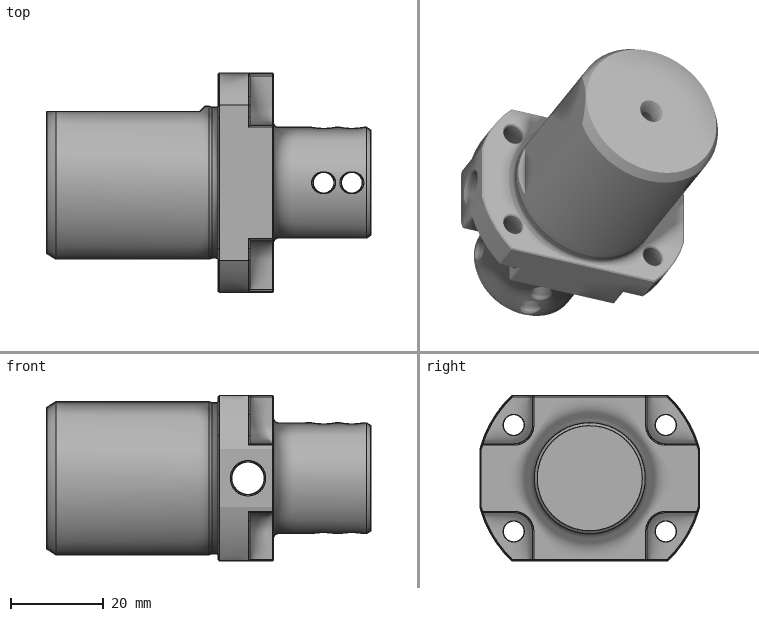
import cadquery as cq
import math

total_length = 70.0
flange_start = 37.0
flange_end = 49.0

shank_radius = 16.5
shank_chamfer_length = 2.0
shank_chamfer_depth = 1.25
spigot_radius = 12.0
spigot_chamfer_length = 1.0
spigot_chamfer_depth = 0.6
spigot_fillet = 1.0

relief_start = 35.1
relief_taper_end = 35.7
relief_depth = 0.2
relief_fillet_start = 36.55
relief_fillet_radius = 0.6
relief_exit_angle = 15.0

flat_offset = 15.4
flat_end = 33.05

flange_width = 47.4
flange_height = 35.7
flange_corner_radius = 24.5
edge_break = 0.3

bolt_circle_radius = 20.0
bolt_angle = 35.0
bolt_hole_diameter = 4.5
bolt_countersink_diameter = 5.05
bolt_y = bolt_circle_radius * math.cos(math.radians(bolt_angle))
bolt_z = bolt_circle_radius * math.sin(math.radians(bolt_angle))
seat_radius = 4.05
seat_floor = 43.9

corners = [(y_side, z_side) for y_side in (-1, 1) for z_side in (-1, 1)]
plain_corner = (-1, 1)

side_hole_x = 43.5
side_hole_diameter = 7.0
side_countersink_diameter = 7.6
pin_hole_stations = (59.8, 65.9)
pin_hole_diameter = 4.5
pin_countersink_diameter = 5.2

centre_hole_diameter = 5.3
centre_pilot_diameter = 2.4
centre_pilot_length = 2.1
centre_cone_half_angle = 30.0
drill_tip_half_angle = 59.0


def make_turned_body():
    """Shank, groove and spigot as one revolved profile, with stock left for the relief fillet."""
    relief_radius = shank_radius - relief_depth
    spigot_face_radius = spigot_radius - spigot_chamfer_depth
    profile = (
        cq.Workplane("XY")
        .lineTo(0, shank_radius - shank_chamfer_depth)
        .lineTo(shank_chamfer_length, shank_radius)
        .lineTo(relief_start, shank_radius)
        .lineTo(relief_taper_end, relief_radius)
        .lineTo(relief_fillet_start, relief_radius)
        .lineTo(relief_fillet_start, relief_radius + relief_fillet_radius)
        .lineTo(flange_start, relief_radius + relief_fillet_radius)
        .lineTo(flange_start, spigot_radius + spigot_fillet)
        .lineTo(flange_end, spigot_radius + spigot_fillet)
        .radiusArc((flange_end + spigot_fillet, spigot_radius), -spigot_fillet)
        .lineTo(total_length - spigot_chamfer_length, spigot_radius)
        .lineTo(total_length, spigot_face_radius)
        .lineTo(total_length, 0)
        .close()
    )
    return profile.revolve(360, (0, 0, 0), (1, 0, 0))


def make_relief():
    """Ring cutter that rounds the groove into the flange face and runs out on it at a shallow angle."""
    exit_angle = math.radians(relief_exit_angle)
    groove_radius = shank_radius - relief_depth
    centre_r = groove_radius + relief_fillet_radius

    def fillet_point(angle):
        return (
            relief_fillet_start + relief_fillet_radius * math.cos(angle),
            centre_r + relief_fillet_radius * math.sin(angle),
        )

    exit_x, exit_r = fillet_point(exit_angle)
    face_radius = exit_r + (exit_x - flange_start) / math.tan(exit_angle)
    profile = (
        cq.Workplane("XY")
        .moveTo(relief_fillet_start, groove_radius)
        .threePointArc(fillet_point((exit_angle - math.pi / 2) / 2), (exit_x, exit_r))
        .lineTo(flange_start, face_radius)
        .lineTo(relief_fillet_start, face_radius)
        .close()
    )
    return profile.revolve(360, (0, 0, 0), (1, 0, 0))


def make_shank_flat():
    """Cutter for the shank flat, with a 45 degree run-out."""
    clearance = 2 * (shank_radius - flat_offset)
    outer_y = flat_offset + clearance
    profile = cq.Workplane("XY").polyline([
        (0, flat_offset),
        (flat_end, flat_offset),
        (flat_end + clearance, outer_y),
        (0, outer_y),
    ])
    return profile.close().extrude(shank_radius, both=True)


def make_seat(y_side, z_side):
    """Cutter for one screw head seat, rounded about its hole and open to the flange rim."""
    centre_y = y_side * (bolt_y - seat_radius + flange_width / 2)
    centre_z = z_side * (bolt_z - seat_radius + flange_height / 2)
    return (
        cq.Workplane("YZ", origin=(seat_floor, centre_y, centre_z))
        .rect(flange_width, flange_height)
        .extrude(flange_end - seat_floor)
        .edges("|X")
        .fillet(seat_radius)
    )


def is_rim_edge(edge):
    """True for edges on the flange rim, except the corners between its flats and arcs."""
    middle = edge.positionAt(0.5)
    tolerance = 0.001
    on_arc = abs(math.hypot(middle.y, middle.z) - flange_corner_radius) < tolerance
    on_side_flat = abs(abs(middle.y) - flange_width / 2) < tolerance
    on_top_flat = abs(abs(middle.z) - flange_height / 2) < tolerance
    return on_arc != (on_side_flat or on_top_flat)


def make_flange():
    """Round plate with four flats, four corner seats and broken outer edges."""
    thickness = flange_end - flange_start
    base = cq.Workplane("YZ", origin=(flange_start, 0, 0))
    flange = base.circle(flange_corner_radius).extrude(thickness)
    flange = flange.intersect(base.rect(flange_width, flange_height).extrude(thickness))
    for y_side, z_side in corners:
        flange = flange.cut(make_seat(y_side, z_side))

    rim_edges = [edge for edge in flange.edges().vals() if is_rim_edge(edge)]
    inner_seat_edges = [edge for edge in flange.edges(">X").vals() if not is_rim_edge(edge)]
    broken_edges = rim_edges + inner_seat_edges
    return flange.newObject(broken_edges).chamfer(edge_break)


def make_cylinder(start, direction, diameter, length):
    """Cylinder running from a start point along a direction."""
    return cq.Workplane(cq.Solid.makeCylinder(diameter / 2, length, cq.Vector(start), cq.Vector(direction)))


def make_countersink(start, direction, mouth_diameter, hole_diameter):
    """45 degree cone narrowing from the mouth to the hole along a direction."""
    mouth_radius = mouth_diameter / 2
    hole_radius = hole_diameter / 2
    depth = mouth_radius - hole_radius
    cone = cq.Solid.makeCone(mouth_radius, hole_radius, depth, cq.Vector(start), cq.Vector(direction))
    return cq.Workplane(cone)


def cut_bolt_holes(body):
    """Four through holes; all but the -Y, +Z one are countersunk on the shank side."""
    for y_side, z_side in corners:
        start = (flange_start, y_side * bolt_y, z_side * bolt_z)
        body = body.cut(make_cylinder(start, (1, 0, 0), bolt_hole_diameter, flange_end - flange_start))
        if (y_side, z_side) != plain_corner:
            body = body.cut(make_countersink(start, (1, 0, 0), bolt_countersink_diameter, bolt_hole_diameter))
    return body


def cut_side_hole(body):
    """Hole through the flange from side flat to side flat, countersunk at both ends."""
    for side in (-1, 1):
        start = (side_hole_x, side * flange_width / 2, 0)
        inward = (0, -side, 0)
        body = body.cut(make_cylinder(start, inward, side_hole_diameter, flange_width / 2))
        body = body.cut(make_countersink(start, inward, side_countersink_diameter, side_hole_diameter))
    return body


def cut_pin_holes(body):
    """Two countersunk holes through the spigot along Z, joined by matching holes from its +Y side."""
    for station in pin_hole_stations:
        for y_side, z_side in ((0, 1), (0, -1), (1, 0)):
            start = (station, y_side * spigot_radius, z_side * spigot_radius)
            inward = (0, -y_side, -z_side)
            body = body.cut(make_cylinder(start, inward, pin_hole_diameter, spigot_radius))
            body = body.cut(make_countersink(start, inward, pin_countersink_diameter, pin_hole_diameter))
    return body


def make_centre_hole():
    """Cutter for the centre hole: a 60 degree cone, a short pilot and the drill tip."""
    mouth_radius = centre_hole_diameter / 2
    pilot_radius = centre_pilot_diameter / 2
    cone_end = (mouth_radius - pilot_radius) / math.tan(math.radians(centre_cone_half_angle))
    pilot_end = cone_end + centre_pilot_length
    tip = pilot_end + pilot_radius / math.tan(math.radians(drill_tip_half_angle))
    profile = cq.Workplane("XY").polyline([
        (0, 0),
        (0, mouth_radius),
        (cone_end, pilot_radius),
        (pilot_end, pilot_radius),
        (tip, 0),
    ])
    return profile.close().revolve(360, (0, 0, 0), (1, 0, 0))


part = make_turned_body().cut(make_shank_flat())
part = part.union(make_flange()).cut(make_relief())
part = cut_bolt_holes(part)
part = cut_side_hole(part)
part = cut_pin_holes(part)
result = part.cut(make_centre_hole())